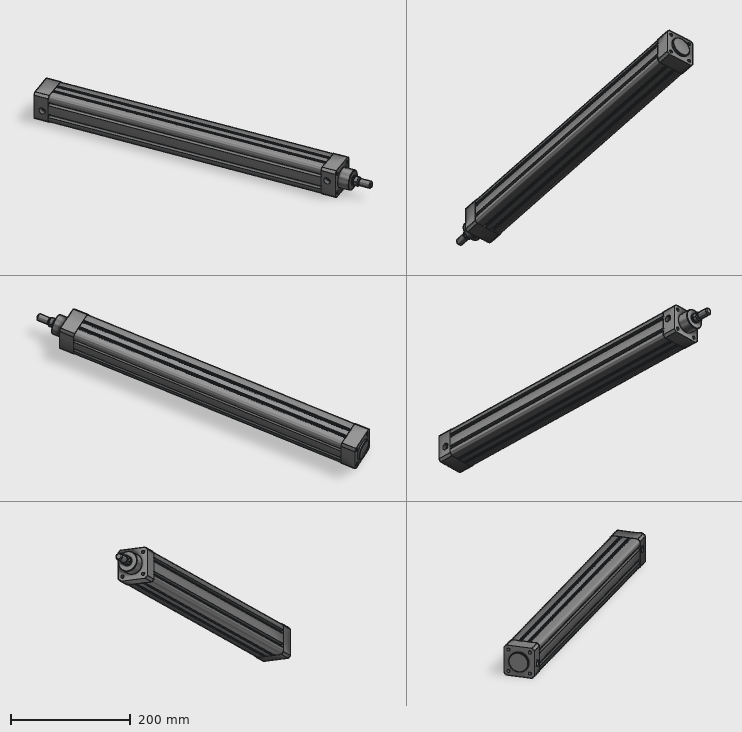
import cadquery as cq

overall_length = 613.0

cap_side = 54.0
cap_length = 26.5
cap_corner_diameter = 70.5
bolt_pitch = 38.0
bolt_hole_diameter = 5.5
bolt_hole_depth = 16.0
port_diameter = 11.5
port_depth = 10.0
port_inset = 15.5
port_offset = 5.0

boss_diameter = 35.0
rear_boss_length = 4.0
front_boss_length = 20.0
boss_chamfer = 0.9

body_length = 555.0
tube_side = 53.5
tube_corner_radius = 7.5
side_groove_pitch = 24.0
side_groove_width = 6.0
side_groove_floor_width = 2.5
side_groove_depth = 5.0
slot_pitch = 15.5
slot_width = 5.0
slot_lip = 2.5
slot_floor_width = 10.0
slot_depth = 7.5

rod_diameter = 16.0
rod_shoulder_reach = 32.5
rod_chamfer = 2.0
stud_diameter = 12.0
stud_chamfer = 2.0
flat_spacing = 15.0
neck_gap = 2.0
neck_length = 2.0
neck_diameter = flat_spacing
relief_length = 1.0
relief_diameter = 11.0

tube_start = cap_length
tube_end = body_length - cap_length
front_boss_end = body_length + front_boss_length
shoulder_x = body_length + rod_shoulder_reach
flat_start = front_boss_end + neck_gap
rod_tip_x = overall_length - rear_boss_length


def section(x):
    """Workplane across the axis at x, with local X along +Y and local Y along +Z."""
    return cq.Workplane("YZ", origin=(x, 0, 0))


def cylinder(x_start, x_end, diameter):
    """Round bar on the cylinder axis."""
    return section(x_start).circle(diameter / 2).extrude(x_end - x_start)


def make_cap_block(x_start, x_end):
    """Square cap with its four long corners turned down around the axis."""
    block = section(x_start).rect(cap_side, cap_side).extrude(x_end - x_start)
    return block.intersect(cylinder(x_start, x_end, cap_corner_diameter))


def make_bolt_holes(face_x, direction):
    """Four blind holes going from a cap face in the given X direction."""
    pattern = section(face_x).rect(bolt_pitch, bolt_pitch, forConstruction=True).vertices()
    return pattern.circle(bolt_hole_diameter / 2).extrude(direction * bolt_hole_depth)


def make_port(x, z):
    """Blind air port going into the -Y side of a cap."""
    plane = cq.Workplane("XZ", origin=(x, -cap_side / 2, z))
    return plane.circle(port_diameter / 2).extrude(-port_depth)


def make_rear_cap():
    boss = cylinder(-rear_boss_length, 0, boss_diameter).faces("<X").chamfer(boss_chamfer)
    cap = make_cap_block(0, tube_start).union(boss)
    cap = cap.cut(make_bolt_holes(0, 1))
    return cap.cut(make_port(port_inset, -port_offset))


def make_front_cap():
    boss = cylinder(body_length, front_boss_end, boss_diameter).faces(">X").chamfer(boss_chamfer)
    cap = make_cap_block(tube_end, body_length).union(boss)
    cap = cap.cut(cylinder(tube_end, front_boss_end, rod_diameter))
    cap = cap.cut(make_bolt_holes(body_length, -1))
    return cap.cut(make_port(body_length - port_inset, port_offset))


def make_side_groove(side, z):
    """Groove with sloping walls along the -Y or +Y side of the tube."""
    y = side * tube_side / 2
    profile = (
        section(tube_start)
        .moveTo(y, z - side_groove_width / 2)
        .lineTo(y - side * side_groove_depth, z - side_groove_floor_width / 2)
        .lineTo(y - side * side_groove_depth, z + side_groove_floor_width / 2)
        .lineTo(y, z + side_groove_width / 2)
        .close()
    )
    return profile.extrude(tube_end - tube_start)


def make_slot(side, y):
    """T-slot along the top or bottom of the tube."""
    length = tube_end - tube_start
    surface = side * tube_side / 2
    mouth_z = surface - side * slot_depth / 2
    mouth = section(tube_start).center(y, mouth_z).rect(slot_width, slot_depth).extrude(length)
    floor_height = slot_depth - slot_lip
    floor_z = surface - side * (slot_lip + floor_height / 2)
    floor = section(tube_start).center(y, floor_z).rect(slot_floor_width, floor_height).extrude(length)
    return mouth.union(floor)


def make_tube():
    tube = section(tube_start).rect(tube_side, tube_side).extrude(tube_end - tube_start)
    tube = tube.edges("|X").fillet(tube_corner_radius)
    for side in (-1, 1):
        for hand in (-1, 1):
            tube = tube.cut(make_side_groove(side, hand * side_groove_pitch / 2))
            tube = tube.cut(make_slot(side, hand * slot_pitch / 2))
    return tube


def make_ring(x, length, outer_diameter, inner_diameter):
    """Ring of material taken off a round bar."""
    return section(x).circle(outer_diameter / 2).circle(inner_diameter / 2).extrude(length)


def make_wrench_flats():
    """Pair of blocks that leave two flats facing -Y and +Y, from the neck ring to the shoulder."""
    block_y = (flat_spacing + rod_diameter) / 2
    pattern = section(flat_start).pushPoints([(-block_y, 0), (block_y, 0)])
    return pattern.rect(rod_diameter, rod_diameter).extrude(shoulder_x - flat_start)


def make_rod():
    """Rod running from the tube end through the front cap, with wrench flats and an end stud."""
    rod = cylinder(tube_end, shoulder_x, rod_diameter).faces(">X").chamfer(rod_chamfer)
    rod = rod.cut(make_wrench_flats())
    rod = rod.cut(make_ring(flat_start, neck_length, rod_diameter, neck_diameter))
    stud = cylinder(shoulder_x, rod_tip_x, stud_diameter).faces(">X").chamfer(stud_chamfer)
    stud = stud.cut(make_ring(shoulder_x, relief_length, stud_diameter, relief_diameter))
    return rod.union(stud)


rear_cap = make_rear_cap()
front_cap = make_front_cap()
tube = make_tube()
rod = make_rod()

result = cq.Compound.makeCompound([rear_cap.val(), front_cap.val(), tube.val(), rod.val()])